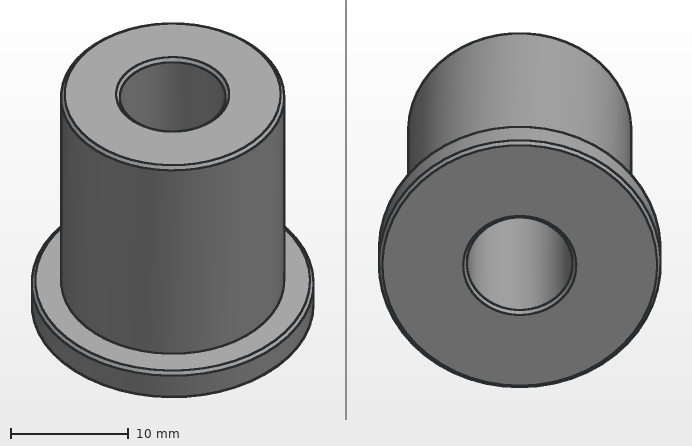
import cadquery as cq

total_height = 24.0
flange_diameter = 24.0
flange_thickness = 3.0
barrel_diameter = 19.0
bore_diameter = 9.0
edge_chamfer = 0.3


def chamfered_cylinder(diameter, height):
    """Upright cylinder standing on Z = 0 with its top edge chamfered."""
    return cq.Workplane("XY").circle(diameter / 2).extrude(height).faces(">Z").edges().chamfer(edge_chamfer)


flange = chamfered_cylinder(flange_diameter, flange_thickness).faces("<Z").edges().chamfer(edge_chamfer)
barrel = chamfered_cylinder(barrel_diameter, total_height)
body = flange.union(barrel)

bore = cq.Workplane("XY").circle(bore_diameter / 2).extrude(total_height)
mouth_diameter = bore_diameter + 2 * edge_chamfer
bottom_mouth = cq.Workplane("XY").circle(mouth_diameter / 2).extrude(edge_chamfer, taper=45)
top_mouth = bottom_mouth.mirror("XY").translate((0, 0, total_height))

result = body.cut(bore).cut(bottom_mouth).cut(top_mouth)